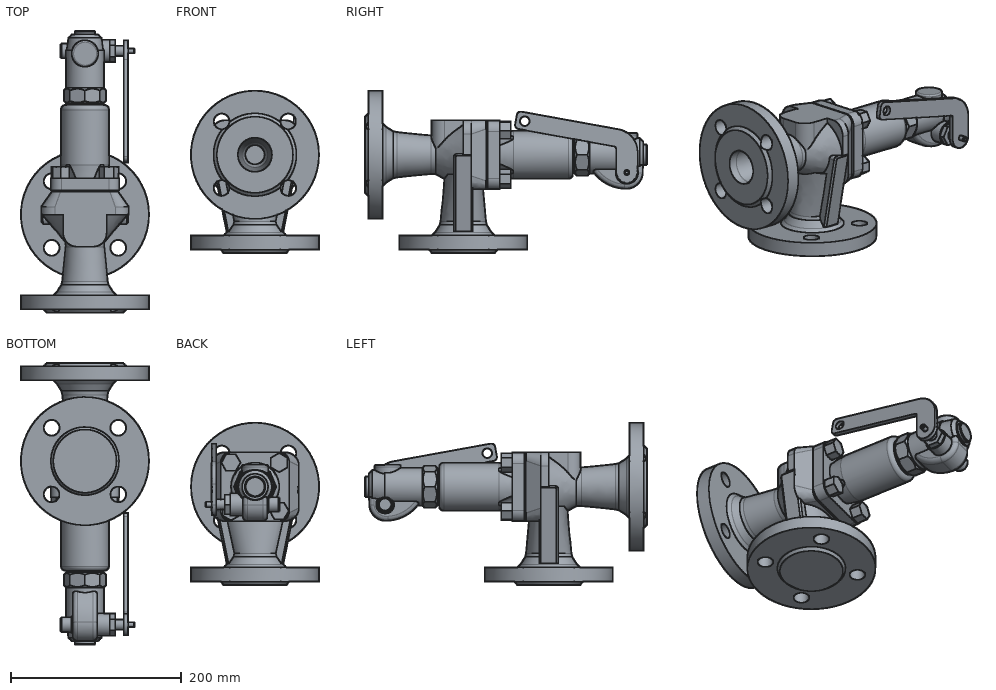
import cadquery as cq
import math


FLANGE_DIAMETER = 150.0
FLANGE_FACE = 115.0
RAISED_HEIGHT = 4.0
FLANGE_BACK = 94.5
FLANGE_RIM = FLANGE_FACE - RAISED_HEIGHT
BOLT_HOLE_DIAMETER = 18.0
BOLT_HOLE_OFFSET = 39.0
INLET_RAISED_RADII = (48.5, 44.5)
OUTLET_RAISED_RADII = (40.0, 37.0)

WELD_NECK_RADIUS = 37.0
NECK_RADIUS = 26.7
NECK_TAPER_START = 78.0
HUB_START = 82.2
HUB_RADIUS = 27.7
HUB_END = 90.5
HUB_END_RADIUS = 33.0
INLET_NECK_END = 38.0
INLET_NECK_END_RADIUS = 22.8

BORE_DIAMETER = 40.0
BORE_DEPTH = 10.5
BORE_TAPER_END = 39.5
BORE_THROAT_RADIUS = 14.5
BORE_FLOOR = 29.7
BORE_FLOOR_RADIUS = 11.2

FLANGE_JOINT = 26.7
SHOULDER = 9.08
CHAMBER_HALF_HEIGHT = 40.42
CHAMBER_END_HALF_WIDTH = 39.0
CHAMBER_HALF_WIDTH = 51.3
CHAMBER_END_CORNER = 10.0
CHAMBER_CORNER = 16.0
GLOBE_HALF_WIDTH = 50.0
GLOBE_LENGTH = 32.5
BOSS_HALF_WIDTH = 25.25
BOSS_FRONT = 37.45
BOSS_CORNER = 15.2
SKIRT_HALF_WIDTH = 41.5
SKIRT_HALF_DEPTH = 21.8
SKIRT_TOP = 23.0
RIB_TOP = 1.0
RIB_FOOT = 89.8
RIB_FOOT_HALF_WIDTH = 33.3
RIB_HALF_THICKNESS = 11.2
RIB_CHAMFER = 2.15
RIB_TOP_FILLET = 4.0

SPIGOT_DIAMETER = 60.0
BONNET_FLANGE_START = 28.5
BONNET_FLANGE_END = 42.5
BONNET_HALF_SIDE = 40.3
BONNET_FLANGE_CORNER = 12.5
BONNET_RADIUS = 28.2
BONNET_ROOT_RADIUS = 26.7
BONNET_END = 128.5
BONNET_EDGE_FILLET = 5.5
POCKET_END = 58.5
POCKET_RADIUS = 17.8
POCKET_END_RADIUS = 12.0

BOLT_OFFSET = 28.2
BOLT_HEAD_HEIGHT = 13.2
BOLT_ACROSS_CORNERS = 22.5

CAP_DIAMETER = 45.0
OCTAGON_START = 130.0
OCTAGON_END = 148.2
OCTAGON_RADIUS = 24.8
OCTAGON_CHAMFER_RADIUS = 21.8
OCTAGON_CHAMFER_LENGTH = 3.0
CAP_CONE_START = 192.0
CAP_CONE_START_RADIUS = 21.5
CAP_CONE_END = 206.5
CAP_CONE_END_RADIUS = 19.5
CAP_SHOULDER = 211.0
CAP_SHOULDER_RADIUS = 15.2
CAP_TIP = 215.0
CAP_TIP_DIAMETER = 24.0
CAP_TIP_CHAMFER = 1.0
PAD_DIAMETER = 31.0
PAD_Y = 188.5
PAD_TOP = 25.58
PAD_FILLET = 2.0

PIVOT_Y = 191.5
PIVOT_Z = -20.8
LOBE_HALF_THICKNESS = 14.5
LOBE_FILLET = 5.5
LOBE_BACK = 210.2
LOBE_BACK_BEND = (204.3, -34.3)
LOBE_BOTTOM = (188.0, -40.0)
LOBE_FRONT_BEND = (169.0, -34.5)
LOBE_FRONT = (151.0, -18.8)
PLUG_DIAMETER = 17.5
PLUG_END = 28.7
PLUG_CHAMFER = 1.5
PLUG_FOOT_DIAMETER = 21.0
PLUG_FOOT_LENGTH = 1.5
NUT_RADIUS = 13.2
NUT_START = 29.0
NUT_END = 35.5
SHAFT_DIAMETER = 12.2
PIN_DIAMETER = 6.0
PIN_END = 58.25
PIN_CHAMFER = 1.0

LEVER_INNER_FACE = 45.2
LEVER_THICKNESS = 5.45
LEVER_LEG_WIDTH = 25.0
LEVER_ARM_WIDTH = 20.8
LEVER_ARM_ANGLE = 10.3
LEVER_HOLE_DIAMETER = 11.0
LEVER_HOLE_Y = 72.0
LEVER_HOLE_Z = 39.3
LEVER_END_LENGTH = 10.5
LEVER_END_FILLET = 5.0
LEVER_ELBOW_FILLET = 27.0
LEVER_CROTCH_FILLET = 3.0

CLEARANCE_BOX = 198.0


def turned_about_y(profile):
    """Solid of revolution about Y from (radius, y) points."""
    return cq.Workplane("XY").polyline(profile).close().revolve(360, (0, 0, 0), (0, 1, 0))


def turned_about_z(profile):
    """Solid of revolution about Z from (radius, z) points."""
    return cq.Workplane("XZ").polyline(profile).close().revolve(360, (0, 0, 0), (0, 1, 0))


def rod_along_x(radius, start, end):
    """Round rod on the lever pivot axis."""
    return cq.Workplane("YZ", origin=(start, PIVOT_Y, PIVOT_Z)).circle(radius).extrude(end - start)


def rounded_rectangle(half_width, half_height, corner):
    return cq.Sketch().rect(2 * half_width, 2 * half_height).vertices().fillet(corner)


def four_corners(offset):
    return [(sx * offset, sy * offset) for sx in (-1, 1) for sy in (-1, 1)]


def flange_profile(raised_radii):
    """Half section of a flange and its hub, as (radius, distance from the origin)."""
    root_radius, face_radius = raised_radii
    rim_radius = FLANGE_DIAMETER / 2
    return [
        (0, NECK_TAPER_START),
        (NECK_RADIUS, NECK_TAPER_START),
        (HUB_RADIUS, HUB_START),
        (HUB_END_RADIUS, HUB_END),
        (WELD_NECK_RADIUS, FLANGE_BACK),
        (rim_radius, FLANGE_BACK),
        (rim_radius, FLANGE_RIM),
        (root_radius, FLANGE_RIM),
        (face_radius, FLANGE_FACE),
        (0, FLANGE_FACE),
    ]


def mirrored(profile):
    return [(radius, -distance) for radius, distance in profile]


def make_inlet():
    flange = turned_about_y(mirrored(flange_profile(INLET_RAISED_RADII)))
    neck = turned_about_y(mirrored([
        (0, 0),
        (INLET_NECK_END_RADIUS, 0),
        (INLET_NECK_END_RADIUS, INLET_NECK_END),
        (NECK_RADIUS, NECK_TAPER_START),
        (0, NECK_TAPER_START),
    ]))
    return flange.union(neck)


def make_outlet():
    flange = turned_about_z(mirrored(flange_profile(OUTLET_RAISED_RADII)))
    skirt = (
        cq.Workplane("XY", origin=(0, 0, -SKIRT_TOP))
        .ellipse(SKIRT_HALF_WIDTH, SKIRT_HALF_DEPTH)
        .workplane(offset=SKIRT_TOP - NECK_TAPER_START)
        .circle(NECK_RADIUS)
        .loft()
    )
    core = cq.Workplane("XY").circle(SKIRT_HALF_DEPTH).extrude(-SKIRT_TOP)
    return flange.union(skirt).union(core)


def make_chamber():
    end_section = rounded_rectangle(CHAMBER_END_HALF_WIDTH, CHAMBER_HALF_HEIGHT, CHAMBER_END_CORNER)
    wide_section = rounded_rectangle(CHAMBER_HALF_WIDTH, CHAMBER_HALF_HEIGHT, CHAMBER_CORNER)
    flare_length = FLANGE_JOINT - SHOULDER
    flare = (
        cq.Workplane("XZ", origin=(0, FLANGE_JOINT, 0))
        .placeSketch(end_section, wide_section.moved(cq.Location(cq.Vector(0, 0, flare_length))))
        .loft()
    )
    upper_half = (
        cq.Workplane("XY")
        .box(CLEARANCE_BOX, CLEARANCE_BOX, CLEARANCE_BOX, centered=(True, True, False))
    )
    belt = (
        cq.Workplane("XZ", origin=(0, SHOULDER, 0))
        .placeSketch(wide_section)
        .extrude(SHOULDER)
        .intersect(upper_half)
    )
    globe = (
        cq.Workplane("XZ")
        .ellipse(GLOBE_HALF_WIDTH, CHAMBER_HALF_HEIGHT)
        .workplane(offset=GLOBE_LENGTH)
        .circle(INLET_NECK_END_RADIUS)
        .loft()
    )
    boss = (
        cq.Workplane("XY", origin=(0, -BOSS_FRONT / 2, 0))
        .rect(2 * BOSS_HALF_WIDTH, BOSS_FRONT)
        .extrude(CHAMBER_HALF_HEIGHT)
        .edges("|Z and <Y")
        .fillet(BOSS_CORNER)
    )
    return flare.union(belt).union(globe).union(boss)


def make_side_ribs():
    """One plate that passes through the body and shows as a sloping rib on each side."""
    return (
        cq.Workplane("XZ", origin=(0, RIB_HALF_THICKNESS, 0))
        .polyline([
            (-CHAMBER_HALF_WIDTH, RIB_TOP),
            (CHAMBER_HALF_WIDTH, RIB_TOP),
            (RIB_FOOT_HALF_WIDTH, -RIB_FOOT),
            (-RIB_FOOT_HALF_WIDTH, -RIB_FOOT),
        ])
        .close()
        .extrude(2 * RIB_HALF_THICKNESS)
        .edges("|X and >Z and <Y")
        .fillet(RIB_TOP_FILLET)
        .faces("<X or >X")
        .edges("<Y or >Y")
        .chamfer(RIB_CHAMFER)
    )


def make_inlet_bore():
    bore_radius = BORE_DIAMETER / 2
    bore_end = FLANGE_FACE - BORE_DEPTH
    return turned_about_y(mirrored([
        (0, FLANGE_FACE),
        (bore_radius, FLANGE_FACE),
        (bore_radius, bore_end),
        (BORE_THROAT_RADIUS, BORE_TAPER_END),
        (BORE_FLOOR_RADIUS, BORE_FLOOR),
        (0, BORE_FLOOR),
    ]))


def make_flange_holes():
    plate = FLANGE_FACE - FLANGE_BACK
    inlet_holes = (
        cq.Workplane("XZ", origin=(0, -FLANGE_BACK, 0))
        .pushPoints(four_corners(BOLT_HOLE_OFFSET))
        .circle(BOLT_HOLE_DIAMETER / 2)
        .extrude(plate)
    )
    outlet_holes = (
        cq.Workplane("XY", origin=(0, 0, -FLANGE_BACK))
        .pushPoints(four_corners(BOLT_HOLE_OFFSET))
        .circle(BOLT_HOLE_DIAMETER / 2)
        .extrude(-plate)
    )
    return inlet_holes.union(outlet_holes)


def make_body():
    body = make_chamber().union(make_inlet()).union(make_outlet()).union(make_side_ribs())
    return body.cut(make_inlet_bore()).cut(make_flange_holes())


def make_bonnet():
    spigot_length = BONNET_FLANGE_START - FLANGE_JOINT
    spigot = (
        cq.Workplane("XZ", origin=(0, BONNET_FLANGE_START, 0))
        .circle(SPIGOT_DIAMETER / 2)
        .extrude(spigot_length)
    )
    square = rounded_rectangle(BONNET_HALF_SIDE, BONNET_HALF_SIDE, BONNET_FLANGE_CORNER)
    flange = (
        cq.Workplane("XZ", origin=(0, BONNET_FLANGE_END, 0))
        .placeSketch(square)
        .extrude(BONNET_FLANGE_END - BONNET_FLANGE_START)
    )
    barrel = (
        turned_about_y([
            (0, BONNET_FLANGE_END),
            (BONNET_ROOT_RADIUS, BONNET_FLANGE_END),
            (BONNET_RADIUS, POCKET_END),
            (BONNET_RADIUS, BONNET_END),
            (0, BONNET_END),
        ])
        .faces(">Y")
        .edges()
        .fillet(BONNET_EDGE_FILLET)
    )
    pocket = turned_about_y([
        (0, BONNET_FLANGE_END),
        (POCKET_RADIUS, BONNET_FLANGE_END),
        (POCKET_END_RADIUS, POCKET_END),
        (0, POCKET_END),
    ])
    for x, z in four_corners(BOLT_OFFSET):
        barrel = barrel.cut(pocket.translate((x, 0, z)))
    return spigot.union(flange).union(barrel)


def make_bolt(quarter_turns):
    """Hexagon head seated on the bonnet flange, at one of four places around the Y axis."""
    head = (
        cq.Workplane("XZ", origin=(BOLT_OFFSET, BONNET_FLANGE_END, BOLT_OFFSET))
        .polygon(6, BOLT_ACROSS_CORNERS)
        .extrude(-BOLT_HEAD_HEIGHT)
    )
    return head.rotate((0, 0, 0), (0, 1, 0), 90 * quarter_turns)


def make_cap_octagon():
    length = OCTAGON_END - OCTAGON_START
    octagon = (
        cq.Workplane("XZ", origin=(0, OCTAGON_START, 0))
        .polygon(8, 2 * OCTAGON_RADIUS)
        .extrude(-length)
    )
    envelope = turned_about_y([
        (0, OCTAGON_START),
        (OCTAGON_CHAMFER_RADIUS, OCTAGON_START),
        (OCTAGON_RADIUS, OCTAGON_START + OCTAGON_CHAMFER_LENGTH),
        (OCTAGON_RADIUS, OCTAGON_END - OCTAGON_CHAMFER_LENGTH),
        (OCTAGON_CHAMFER_RADIUS, OCTAGON_END),
        (0, OCTAGON_END),
    ])
    return octagon.intersect(envelope)


def make_cap_barrel():
    cap_radius = CAP_DIAMETER / 2
    tip_radius = CAP_TIP_DIAMETER / 2
    return turned_about_y([
        (0, BONNET_END),
        (OCTAGON_CHAMFER_RADIUS, BONNET_END),
        (OCTAGON_CHAMFER_RADIUS, OCTAGON_END),
        (cap_radius, OCTAGON_END),
        (cap_radius, CAP_CONE_START),
        (CAP_CONE_START_RADIUS, CAP_CONE_START),
        (CAP_CONE_END_RADIUS, CAP_CONE_END),
        (CAP_SHOULDER_RADIUS, CAP_SHOULDER),
        (tip_radius, CAP_SHOULDER),
        (tip_radius, CAP_TIP - CAP_TIP_CHAMFER),
        (tip_radius - CAP_TIP_CHAMFER, CAP_TIP),
        (0, CAP_TIP),
    ])


def make_cap_pad():
    return (
        cq.Workplane("XY", origin=(0, PAD_Y, 0))
        .circle(PAD_DIAMETER / 2)
        .extrude(PAD_TOP)
        .faces(">Z")
        .edges()
        .fillet(PAD_FILLET)
    )


def make_cap_lobe():
    """Rounded web below the cap barrel that carries the lever shaft."""
    return (
        cq.Workplane("YZ", origin=(-LOBE_HALF_THICKNESS, 0, 0))
        .moveTo(LOBE_BACK, 0)
        .lineTo(LOBE_BACK, PIVOT_Z)
        .threePointArc(LOBE_BACK_BEND, LOBE_BOTTOM)
        .threePointArc(LOBE_FRONT_BEND, LOBE_FRONT)
        .lineTo(LOBE_FRONT[0], 0)
        .close()
        .extrude(2 * LOBE_HALF_THICKNESS)
        .faces("<X or >X")
        .edges("<Z or %CIRCLE")
        .fillet(LOBE_FILLET)
    )


def make_cap():
    plug = rod_along_x(PLUG_DIAMETER / 2, -PLUG_END, 0).faces("<X").chamfer(PLUG_CHAMFER)
    foot_end = -LOBE_HALF_THICKNESS - PLUG_FOOT_LENGTH
    foot = (
        rod_along_x(PLUG_FOOT_DIAMETER / 2, foot_end, 0)
        .faces("<X")
        .chamfer(PLUG_FOOT_LENGTH)
    )
    shaft_boss = rod_along_x(NUT_RADIUS, 0, NUT_START)
    cap = make_cap_barrel().union(make_cap_octagon()).union(make_cap_pad())
    return cap.union(make_cap_lobe()).union(plug).union(foot).union(shaft_boss)


def make_nut():
    hexagon = (
        cq.Workplane("YZ", origin=(NUT_START, PIVOT_Y, PIVOT_Z))
        .polygon(6, 2 * NUT_RADIUS)
        .extrude(NUT_END - NUT_START)
    )
    return hexagon.cut(rod_along_x(SHAFT_DIAMETER / 2, NUT_START, NUT_END))


def make_shaft():
    """Lever shaft that passes through the nut and ends in a thinner pin through the lever."""
    shaft = rod_along_x(SHAFT_DIAMETER / 2, NUT_START, LEVER_INNER_FACE)
    pin = rod_along_x(PIN_DIAMETER / 2, LEVER_INNER_FACE, PIN_END).faces(">X").chamfer(PIN_CHAMFER)
    return shaft.union(pin)


def make_lever():
    """Bent lever plate: a leg up from the pivot, then a long arm that rises towards -Y."""
    half_leg = LEVER_LEG_WIDTH / 2
    half_arm = LEVER_ARM_WIDTH / 2
    rise = math.tan(math.radians(LEVER_ARM_ANGLE))
    along_y = math.cos(math.radians(LEVER_ARM_ANGLE))
    along_z = math.sin(math.radians(LEVER_ARM_ANGLE))

    def arm_edge_z(y, side):
        return LEVER_HOLE_Z + (LEVER_HOLE_Y - y) * rise + side * half_arm / along_y

    def arm_tip(side):
        y = LEVER_HOLE_Y - LEVER_END_LENGTH * along_y + side * half_arm * along_z
        return (y, arm_edge_z(y, side))

    leg_back = PIVOT_Y + half_leg
    leg_front = PIVOT_Y - half_leg
    elbow = (leg_back, arm_edge_z(leg_back, 1))
    crotch = (leg_front, arm_edge_z(leg_front, -1))
    plate = (
        cq.Workplane("YZ", origin=(LEVER_INNER_FACE, 0, 0))
        .moveTo(leg_front, PIVOT_Z)
        .threePointArc((PIVOT_Y, PIVOT_Z - half_leg), (leg_back, PIVOT_Z))
        .lineTo(*elbow)
        .lineTo(*arm_tip(1))
        .lineTo(*arm_tip(-1))
        .lineTo(*crotch)
        .close()
        .extrude(LEVER_THICKNESS)
    )

    def edge_at(corner):
        return cq.selectors.NearestToPointSelector((LEVER_INNER_FACE + LEVER_THICKNESS / 2, *corner))

    plate = plate.edges(edge_at(elbow)).fillet(LEVER_ELBOW_FILLET)
    plate = plate.edges(edge_at(crotch)).fillet(LEVER_CROTCH_FILLET)
    for side in (1, -1):
        plate = plate.edges(edge_at(arm_tip(side))).fillet(LEVER_END_FILLET)

    grip_hole = (
        cq.Workplane("YZ", origin=(LEVER_INNER_FACE, LEVER_HOLE_Y, LEVER_HOLE_Z))
        .circle(LEVER_HOLE_DIAMETER / 2)
        .extrude(LEVER_THICKNESS)
    )
    pin_hole = rod_along_x(PIN_DIAMETER / 2, LEVER_INNER_FACE, LEVER_INNER_FACE + LEVER_THICKNESS)
    return plate.cut(grip_hole).cut(pin_hole)


body = make_body()
bonnet = make_bonnet()
bolts = [make_bolt(quarter_turns) for quarter_turns in range(4)]
cap = make_cap()
nut = make_nut()
shaft = make_shaft()
lever = make_lever()

result = cq.Compound.makeCompound([
    body.val(),
    bonnet.val(),
    *[bolt.val() for bolt in bolts],
    cap.val(),
    nut.val(),
    shaft.val(),
    lever.val(),
])